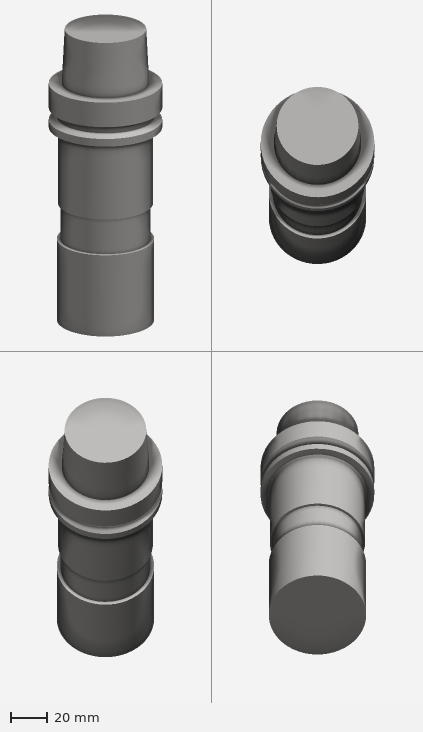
import cadquery as cq
import math

total_height = 172.0
taper_length = 32.0
flange_length = 26.0
base_height = 48.0
relief_height = 21.0

base_diameter = 54.0
relief_diameter = 50.0
neck_diameter = 52.8
flange_diameter = 63.0
taper_large_diameter = 48.5
taper_ratio = 0.1

groove_floor_diameter = 54.5
groove_floor_width = 3.2
groove_rim_width = 7.0
groove_center_depth = 18.0
groove_flank_angle = 30.0

collar_diameter = 55.0
collar_height = 1.1

flange_top = total_height - taper_length
flange_bottom = flange_top - flange_length
relief_top = base_height + relief_height
taper_small_diameter = taper_large_diameter - taper_ratio * taper_length


def cylinder(diameter, bottom, top):
    return cq.Workplane("XY").workplane(offset=bottom).circle(diameter / 2).extrude(top - bottom)


def cone(bottom_diameter, top_diameter, bottom, top):
    return (
        cq.Workplane("XY")
        .workplane(offset=bottom)
        .circle(bottom_diameter / 2)
        .workplane(offset=top - bottom)
        .circle(top_diameter / 2)
        .loft(ruled=True)
    )


def flange_groove():
    """Ring that cuts the groove, mirror-symmetric above and below the groove's centre plane."""
    rim_radius = flange_diameter / 2
    floor_radius = groove_floor_diameter / 2
    flank_height = (groove_rim_width - groove_floor_width) / 2
    ledge_radius = rim_radius - flank_height / math.tan(math.radians(groove_flank_angle))
    groove_top = flange_top - groove_center_depth + groove_rim_width / 2
    groove_bottom = groove_top - groove_rim_width
    floor_top = groove_top - flank_height
    floor_bottom = groove_bottom + flank_height
    return (
        cq.Workplane("XZ")
        .moveTo(rim_radius, groove_bottom)
        .lineTo(ledge_radius, floor_bottom)
        .lineTo(floor_radius, floor_bottom)
        .lineTo(floor_radius, floor_top)
        .lineTo(ledge_radius, floor_top)
        .lineTo(rim_radius, groove_top)
        .close()
        .revolve(360, (0, 0, 0), (0, 1, 0))
    )


base = cylinder(base_diameter, 0, base_height)
relief = cylinder(relief_diameter, base_height, relief_top)
neck = cylinder(neck_diameter, relief_top, flange_bottom)
collar = cone(neck_diameter, collar_diameter, flange_bottom - collar_height, flange_bottom)
flange = cylinder(flange_diameter, flange_bottom, flange_top).cut(flange_groove())
taper = cone(taper_large_diameter, taper_small_diameter, flange_top, total_height)

result = base.union(relief).union(neck).union(collar).union(flange).union(taper)